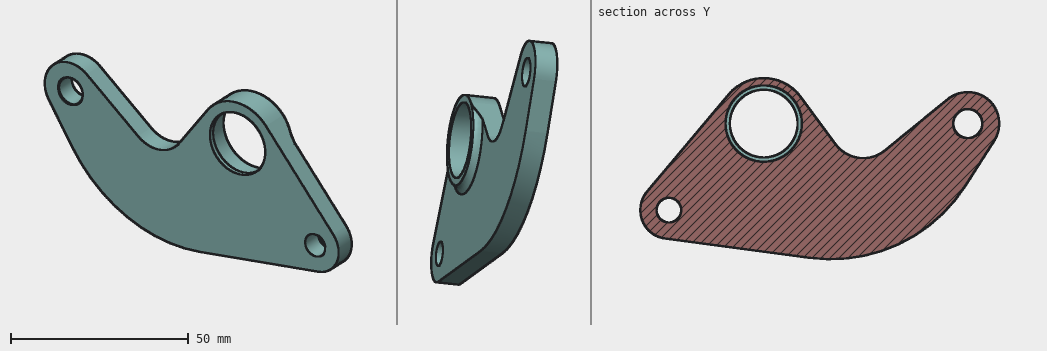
import cadquery as cq
import math

plate_thickness = 6.5
total_depth = 8.5

main_center = (0, 0)
main_radius = 12.8
main_bore_radius = 9.5
main_recess_radius = 10.7
lip_thickness = 1.6

left_center = (-57.4, 0)
left_radius = 8.9
left_bore_radius = 4.0
left_bore_chamfer = 0.2

right_center = (26.7, -24.3)
right_radius = 8.1
right_bore_radius = 3.4

belly_center = (-18.9, 6.8)
belly_radius = 45.0
valley_center = (-28.0, 0)
valley_radius = 9.7

boss_flare = 2.3
boss_sag = 0.3


def tangent_points(start, start_radius, end, end_radius):
    """Touch points of the line tangent to two circles, both on its right-hand side.

    A negative radius puts that circle on the left-hand side of the line.
    """
    dx = end[0] - start[0]
    dz = end[1] - start[1]
    distance = math.hypot(dx, dz)
    normal = math.atan2(dz, dx) + math.acos((start_radius - end_radius) / distance)
    return [
        (center[0] + radius * math.cos(normal), center[1] + radius * math.sin(normal))
        for center, radius in ((start, start_radius), (end, end_radius))
    ]


def arc_middle(center, radius, start, end):
    """Middle of the arc from start to end; clockwise, or the other way for a negative radius."""
    start_angle = math.atan2(start[1] - center[1], start[0] - center[0])
    end_angle = math.atan2(end[1] - center[1], end[0] - center[0])
    turn = math.copysign(1, radius)
    sweep = (turn * (start_angle - end_angle)) % math.tau
    middle = start_angle - turn * sweep / 2
    return (
        center[0] + abs(radius) * math.cos(middle),
        center[1] + abs(radius) * math.sin(middle),
    )


def prism(sketch, depth):
    """Extrude an XZ sketch from the front face towards the back."""
    return sketch.extrude(-depth)


def plate_outline():
    """Clockwise chain of arcs joined by common tangent lines."""
    circles = [
        (left_center, left_radius),
        (valley_center, -valley_radius),
        (main_center, main_radius),
        (right_center, right_radius),
        (belly_center, belly_radius),
    ]
    lines = [
        tangent_points(*circle, *circles[(i + 1) % len(circles)])
        for i, circle in enumerate(circles)
    ]
    outline = cq.Workplane("XZ").moveTo(*lines[-1][1])
    for i, (center, radius) in enumerate(circles):
        arrival = lines[i - 1][1]
        departure, next_arrival = lines[i]
        middle = arc_middle(center, radius, arrival, departure)
        outline = outline.threePointArc(middle, departure).lineTo(*next_arrival)
    return outline.close()


def flared_boss():
    """Round boss on the back face, turned about Y with a hollow sloping side."""
    foot_radius = main_radius + boss_flare
    return (
        cq.Workplane("XY")
        .lineTo(foot_radius, 0)
        .lineTo(foot_radius, plate_thickness)
        .sagittaArc((main_radius, total_depth), boss_sag)
        .lineTo(0, total_depth)
        .close()
        .revolve(360, (0, 0, 0), (0, 1, 0))
    )


def bore(center, radius):
    return prism(cq.Workplane("XZ").center(*center).circle(radius), total_depth)


plate = prism(plate_outline(), plate_thickness)
boss = flared_boss().intersect(prism(plate_outline(), total_depth))
result = plate.union(boss)

for center, radius in (
    (main_center, main_bore_radius),
    (left_center, left_bore_radius),
    (right_center, right_bore_radius),
):
    result = result.cut(bore(center, radius))

recess = bore(main_center, main_recess_radius).translate((0, lip_thickness, 0))
result = result.cut(recess)

left_bore_edge = cq.selectors.NearestToPointSelector((left_center[0], 0, left_center[1]))
result = result.edges("%CIRCLE").edges(left_bore_edge).chamfer(left_bore_chamfer)